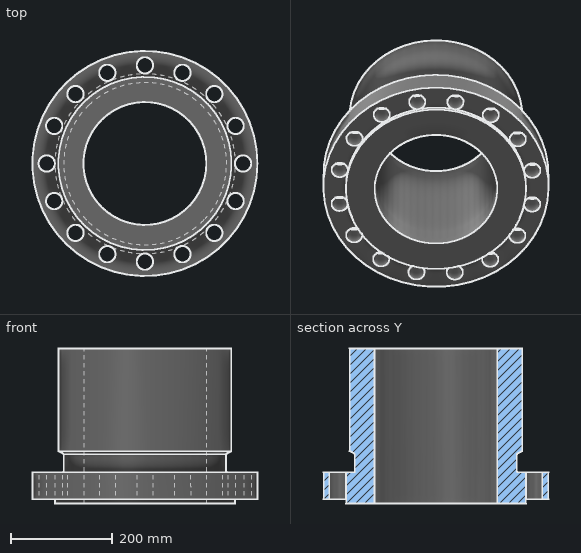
import cadquery as cq

raised_face_height = 8.5
flange_thickness = 53.9
neck_height = 35.5
shoulder_height = 5.6
total_height = 306.4

neck_root_radius = 1.0

flange_diameter = 444.5
raised_face_diameter = 355.6
neck_diameter = 321.0
barrel_diameter = 341.6
bore_diameter = 242.0

bolt_hole_count = 16
bolt_hole_diameter = 31.75
bolt_circle_diameter = 387.35

flange_top = raised_face_height + flange_thickness
neck_top = flange_top + neck_height
shoulder_top = neck_top + shoulder_height


def revolved_body():
    """Raised face, flange, neck, conical shoulder and barrel in one revolved ring."""
    bore_radius = bore_diameter / 2
    raised_face_radius = raised_face_diameter / 2
    flange_radius = flange_diameter / 2
    neck_radius = neck_diameter / 2
    barrel_radius = barrel_diameter / 2
    profile = (
        cq.Workplane("XZ")
        .moveTo(bore_radius, 0)
        .lineTo(raised_face_radius, 0)
        .lineTo(raised_face_radius, raised_face_height)
        .lineTo(flange_radius, raised_face_height)
        .lineTo(flange_radius, flange_top)
        .lineTo(neck_radius + neck_root_radius, flange_top)
        .radiusArc((neck_radius, flange_top + neck_root_radius), neck_root_radius)
        .lineTo(neck_radius, neck_top)
        .lineTo(barrel_radius, shoulder_top)
        .lineTo(barrel_radius, total_height)
        .lineTo(bore_radius, total_height)
        .close()
    )
    axis_start = (0, 0, 0)
    axis_end = (0, 1, 0)
    return profile.revolve(360, axis_start, axis_end)


def bolt_holes():
    """Ring of cylinders that pass through the flange."""
    return (
        cq.Workplane("XY")
        .polarArray(bolt_circle_diameter / 2, 0, 360, bolt_hole_count)
        .circle(bolt_hole_diameter / 2)
        .extrude(flange_top)
    )


result = revolved_body().cut(bolt_holes())